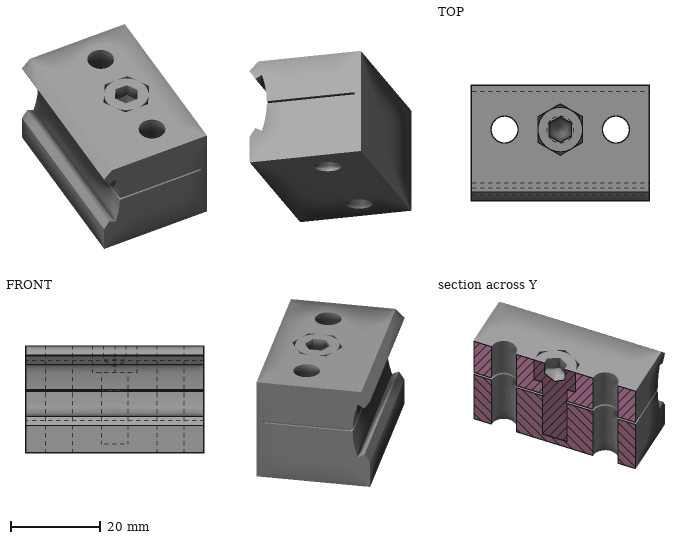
import cadquery as cq
import math

LENGTH = 40.0
DEPTH = 26.0
HEIGHT = 24.0
FRONT_Y = -DEPTH / 2
BACK_Y = DEPTH / 2
TOP_Z = HEIGHT / 2
BOTTOM_Z = -HEIGHT / 2

PARTING_Z = 2.0
GAP = 0.5
RIDGE_WIDTH = 1.5
RIDGE_Y = BACK_Y - RIDGE_WIDTH

SEAT_RADIUS = 20.0
SEAT_DEPTH = 4.0
SEAT_HALF_HEIGHT = 6.7
SEAT_CENTRE_Y = FRONT_Y + SEAT_DEPTH - SEAT_RADIUS
LIP_TIP_INSET = 1.3
LIP_TIP_HEIGHT = 5.87
LIP_FRONT_HEIGHT = 7.8
TOP_CHAMFER = 2.0

SCREW_Y = 3.0
HOLE_DIAMETER = 6.0
HOLE_SPACING = 25.0

SHANK_DIAMETER = 6.0
SHANK_LENGTH = 16.0
HEAD_DIAMETER = 10.0
HEAD_HEIGHT = 6.0
RECESS_FLATS = HEAD_DIAMETER
SOCKET_FLATS = 5.0
SOCKET_DEPTH = 3.0
SOCKET_POINT_ANGLE = 120.0


def across_corners(flats):
    return flats / math.cos(math.radians(30))


def seat_y(height):
    """Y of the seat surface at a height above or below the parting plane."""
    return SEAT_CENTRE_Y + math.sqrt(SEAT_RADIUS**2 - height**2)


def jaw(side, outer_z, front_chamfer):
    """Jaw above (side = 1) or below (side = -1) the parting plane, without holes."""

    def point(y, height):
        return (y, PARTING_Z + side * height)

    half_gap = GAP / 2
    mid_height = (half_gap + SEAT_HALF_HEIGHT) / 2
    outline = (
        cq.Workplane("YZ", origin=(-LENGTH / 2, 0, 0))
        .moveTo(BACK_Y, PARTING_Z)
        .lineTo(RIDGE_Y, PARTING_Z)
        .lineTo(*point(RIDGE_Y, half_gap))
        .lineTo(*point(seat_y(half_gap), half_gap))
        .threePointArc(
            point(seat_y(mid_height), mid_height),
            point(seat_y(SEAT_HALF_HEIGHT), SEAT_HALF_HEIGHT),
        )
        .lineTo(*point(FRONT_Y + LIP_TIP_INSET, LIP_TIP_HEIGHT))
        .lineTo(*point(FRONT_Y, LIP_FRONT_HEIGHT))
    )
    if front_chamfer > 0:
        outline = outline.lineTo(FRONT_Y, outer_z - side * front_chamfer)
    outline = outline.lineTo(FRONT_Y + front_chamfer, outer_z).lineTo(BACK_Y, outer_z)
    return outline.close().extrude(LENGTH)


def hexagon(flats, height):
    """Hexagonal prism on the screw axis, going down from the top face, flats facing X."""
    return (
        cq.Workplane("XY", origin=(0, SCREW_Y, TOP_Z))
        .transformed(rotate=(0, 0, 90))
        .polygon(6, across_corners(flats))
        .extrude(-height)
    )


def cylinder(diameter, top_z, height):
    """Cylinder on the screw axis, going down from a given height."""
    return cq.Workplane("XY", origin=(0, SCREW_Y, top_z)).circle(diameter / 2).extrude(-height)


def shank():
    """Round screw shank going down from under the head."""
    return cylinder(SHANK_DIAMETER, TOP_Z - HEAD_HEIGHT, SHANK_LENGTH)


def mounting_holes():
    return (
        cq.Workplane("XY", origin=(0, SCREW_Y, BOTTOM_Z))
        .rarray(HOLE_SPACING, 1, 2, 1)
        .circle(HOLE_DIAMETER / 2)
        .extrude(HEIGHT)
    )


def socket():
    """Hexagon socket ending in a conical drill point."""
    diameter = across_corners(SOCKET_FLATS)
    radius = diameter / 2
    point_depth = radius / math.tan(math.radians(SOCKET_POINT_ANGLE / 2))
    point_base = cq.Vector(0, SCREW_Y, TOP_Z - SOCKET_DEPTH)
    point = cq.Solid.makeCone(radius, 0, point_depth, point_base, cq.Vector(0, 0, -1))
    drilled = cylinder(diameter, TOP_Z, SOCKET_DEPTH).union(cq.Workplane(point))
    return hexagon(SOCKET_FLATS, SOCKET_DEPTH + point_depth).intersect(drilled)


def clamping_screw():
    head = cylinder(HEAD_DIAMETER, TOP_Z, HEAD_HEIGHT)
    return head.union(shank()).cut(socket())


screw_recess = hexagon(RECESS_FLATS, HEAD_HEIGHT).union(shank())

upper_jaw = jaw(1, TOP_Z, TOP_CHAMFER).cut(mounting_holes()).cut(screw_recess)
lower_jaw = jaw(-1, BOTTOM_Z, 0).cut(mounting_holes()).cut(screw_recess)
screw = clamping_screw()

bodies = [upper_jaw, lower_jaw, screw]
result = cq.Compound.makeCompound([body.solids().val() for body in bodies])